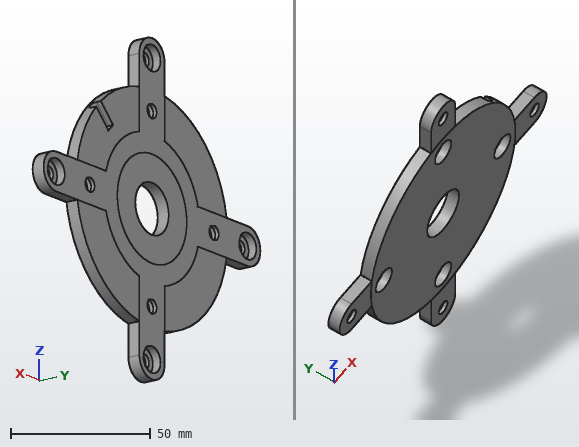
import cadquery as cq

span = 128.6
thickness = 5.0
front_y = -thickness / 2
back_y = thickness / 2

disc_diameter = 89.8
center_hole_diameter = 19.7

screw_hole_diameter = 5.4
counterbore_diameter = 10.0
counterbore_depth = 3.5
disc_screw_radius = 36.8

arm_count = 4
arm_width = 15.0
arm_hole_radius = (span - arm_width) / 2

web_thickness = thickness - counterbore_depth
web_y = back_y - web_thickness
hub_outer_diameter = 56.6
hub_inner_diameter = 41.2
hub_mid_radius = (hub_outer_diameter + hub_inner_diameter) / 4

groove_width = 3.9
groove_depth = 4.0
groove_length = 10.3
groove_angle = 45.0


def cylinder(diameter, start_y, length, radius=0.0):
    """Cylinder running toward +Y from start_y, centred at X = radius."""
    return cq.Workplane("XZ", origin=(radius, start_y, 0)).circle(diameter / 2).extrude(-length)


def bar(inner_radius, outer_radius, start_y, length):
    """Arm-wide bar along +X, running toward +Y from start_y."""
    middle = (inner_radius + outer_radius) / 2
    plane = cq.Workplane("XZ", origin=(middle, start_y, 0))
    return plane.rect(outer_radius - inner_radius, arm_width).extrude(-length)


def around_axis(shape):
    """One copy of the shape for each arm, turned about the Y axis."""
    step = 360.0 / arm_count
    return [shape.rotate((0, 0, 0), (0, 1, 0), i * step) for i in range(arm_count)]


def make_arm():
    """Full-thickness arm outside the disc, with its hole counterbored from the back."""
    arm = bar(hub_mid_radius, arm_hole_radius, front_y, thickness)
    arm = arm.union(cylinder(arm_width, front_y, thickness, arm_hole_radius))
    arm = arm.cut(cylinder(disc_diameter, front_y, thickness))
    arm = arm.cut(cylinder(screw_hole_diameter, front_y, thickness, arm_hole_radius))
    counterbore_y = back_y - counterbore_depth
    return arm.cut(cylinder(counterbore_diameter, counterbore_y, counterbore_depth, arm_hole_radius))


def make_frame_blank():
    """Hub ring, spokes and arms, before the holes under the disc screws."""
    frame = cylinder(hub_outer_diameter, web_y, web_thickness)
    frame = frame.cut(cylinder(hub_inner_diameter, web_y, web_thickness))
    spoke = bar(hub_mid_radius, disc_diameter / 2, web_y, web_thickness)
    for limb in around_axis(spoke.union(make_arm())):
        frame = frame.union(limb)
    return frame


def make_frame():
    """Frame with the disc screw holes through its spokes."""
    frame = make_frame_blank()
    for hole in around_axis(cylinder(screw_hole_diameter, web_y, web_thickness, disc_screw_radius)):
        frame = frame.cut(hole)
    return frame


def make_groove():
    """U-section cutter with its round bottom toward the front."""
    groove_radius = groove_width / 2
    half_circle_y = back_y - groove_depth + groove_radius
    outer_radius = disc_diameter / 2
    groove = (
        cq.Workplane("YZ", origin=(outer_radius - groove_length, 0, 0))
        .moveTo(back_y, -groove_radius)
        .lineTo(half_circle_y, -groove_radius)
        .threePointArc((back_y - groove_depth, 0), (half_circle_y, groove_radius))
        .lineTo(back_y, groove_radius)
        .close()
        .extrude(groove_length)
    )
    return groove.rotate((0, 0, 0), (0, 1, 0), -groove_angle)


def make_disc():
    """Disc with its center hole, counterbores, frame recess and groove."""
    disc = cylinder(disc_diameter, front_y, thickness)
    disc = disc.cut(cylinder(center_hole_diameter, front_y, thickness))
    counterbore = cylinder(counterbore_diameter, front_y, counterbore_depth, disc_screw_radius)
    for cutter in around_axis(counterbore):
        disc = disc.cut(cutter)
    return disc.cut(make_frame_blank()).cut(make_groove())


disc = make_disc()
frame = make_frame()
result = cq.Compound.makeCompound([disc.val(), frame.val()])